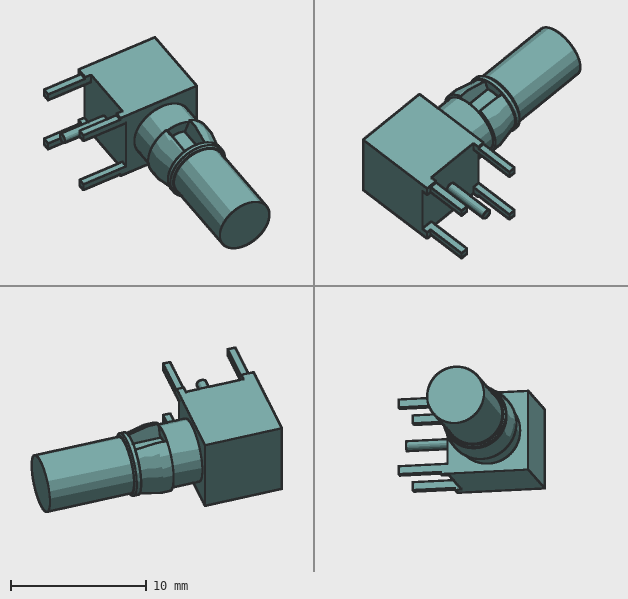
import cadquery as cq
import math

body_side = 6.0
body_half = body_side / 2
foot_height = 0.5
recess_floor_y = -3.1
foot_face_y = recess_floor_y - foot_height
pin_tip_y = -6.8

leg_size = 0.6
leg_pitch = 5.08
leg_pattern_offset_x = 0.2

center_pin_diameter = 0.76

neck_diameter = 4.8
ring_diameter = 5.2
cone_end_diameter = 4.5
flange_diameter = 4.75
tube_diameter = 4.3
neck_end_x = 5.25
ring_gap = 0.05
ring_start_x = neck_end_x + ring_gap
cone_start_x = 6.1
flange_start_x = 7.75
flange_end_x = 8.25
flange_chamfer = 0.15
tube_end_x = 14.8

slot_angle = 45.0
core_diameter = 3.0


def box_between(x_range, y_range, z_range):
    """Box from its lower and upper limits along each axis."""
    sizes = [high - low for low, high in (x_range, y_range, z_range)]
    corner = (x_range[0], y_range[0], z_range[0])
    return cq.Workplane("XY").box(*sizes, centered=False).translate(corner)


def rod_along_x(diameter, start_x, end_x):
    """Cylinder on the connector axis."""
    return cq.Workplane("YZ", origin=(start_x, 0, 0)).circle(diameter / 2).extrude(end_x - start_x)


def make_body():
    full_range = (-body_half, body_half)
    return box_between(full_range, (recess_floor_y, body_half), full_range)


def make_leg(x_side, z_side):
    """Corner foot with its solder leg; x_side and z_side are -1 or +1."""
    center_x = leg_pattern_offset_x + x_side * leg_pitch / 2
    center_z = z_side * leg_pitch / 2
    inner_x = center_x - x_side * leg_size / 2
    inner_z = center_z - z_side * leg_size / 2
    outer_x = x_side * body_half
    outer_z = z_side * body_half
    leg_outer_x = x_side * min(x_side * center_x + leg_size / 2, body_half)
    leg_outer_z = center_z + z_side * leg_size / 2

    foot = box_between(
        sorted((inner_x, outer_x)),
        (foot_face_y, recess_floor_y),
        sorted((inner_z, outer_z)),
    )
    leg = box_between(
        sorted((inner_x, leg_outer_x)),
        (pin_tip_y, recess_floor_y),
        sorted((inner_z, leg_outer_z)),
    )
    return foot.union(leg)


def make_center_pin():
    pin_plane = cq.Workplane("XZ", origin=(0, recess_floor_y, 0))
    return pin_plane.circle(center_pin_diameter / 2).extrude(recess_floor_y - pin_tip_y)


def make_barrel():
    """Half profile turned about the connector axis."""
    profile = (
        cq.Workplane("XY")
        .moveTo(body_half, 0)
        .lineTo(body_half, neck_diameter / 2)
        .lineTo(neck_end_x, neck_diameter / 2)
        .lineTo(neck_end_x, core_diameter / 2)
        .lineTo(ring_start_x, core_diameter / 2)
        .lineTo(ring_start_x, ring_diameter / 2)
        .lineTo(cone_start_x, ring_diameter / 2)
        .lineTo(flange_start_x, cone_end_diameter / 2)
        .lineTo(flange_start_x, flange_diameter / 2)
        .lineTo(flange_end_x - flange_chamfer, flange_diameter / 2)
        .lineTo(flange_end_x, flange_diameter / 2 - flange_chamfer)
        .lineTo(flange_end_x, tube_diameter / 2)
        .lineTo(tube_end_x, tube_diameter / 2)
        .lineTo(tube_end_x, 0)
        .close()
    )
    return profile.revolve(360, (0, 0, 0), (1, 0, 0))


def make_ring_slot():
    """Wedge opening upward from the axis, stopping at the core."""
    wedge_height = ring_diameter
    wedge_half_width = wedge_height * math.tan(math.radians(slot_angle / 2))
    wedge = (
        cq.Workplane("YZ", origin=(ring_start_x, 0, 0))
        .polyline([(0, 0), (wedge_half_width, wedge_height), (-wedge_half_width, wedge_height)])
        .close()
        .extrude(flange_start_x - ring_start_x)
    )
    return wedge.cut(rod_along_x(core_diameter, ring_start_x, flange_start_x))


result = make_body().union(make_barrel().cut(make_ring_slot())).union(make_center_pin())
for x_side in (-1, 1):
    for z_side in (-1, 1):
        result = result.union(make_leg(x_side, z_side))